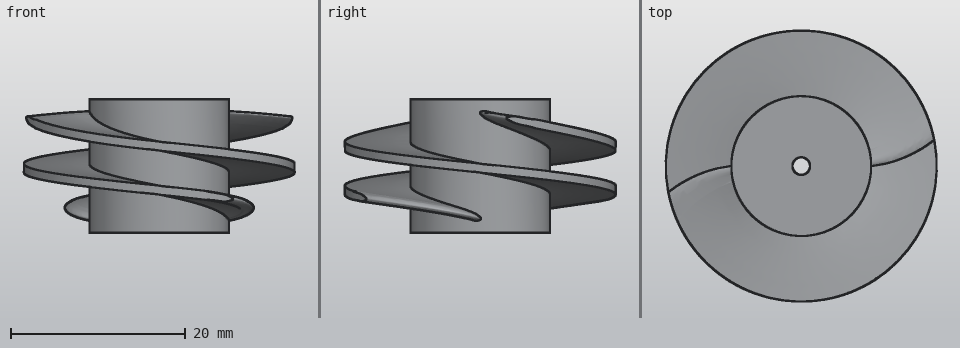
import cadquery as cq
import math

hub_radius = 8.0
hub_height = 15.3
bore_radius = 1.0

blade_count = 2
blade_radius = 15.52
blade_thickness = 1.02
pitch = 10.1
mid_height = 7.42
end_turn = 90.0
start_rise = 1.3
finish_drop = 0.75

root_turn = 360.0
lead_sweep = 11.1
trail_sweep = 57.0
sweep_power = 1.25
nose_length = 13.0

section_count = 7
points_per_side = 25
points_per_nose = 7
root_overlap = 0.75
rim_overlap = 0.5


def center_height(angle):
    """Height of the blade's middle surface: a helix that steepens at both ends."""
    height = mid_height - pitch * (angle - root_turn / 2) / 360
    start_part = max(0.0, 1 - angle / end_turn)
    finish_part = max(0.0, 1 - (root_turn - angle) / end_turn)
    return height + start_rise * start_part**2 - finish_drop * finish_part**2


def blade_section(radius):
    """Closed outline of one blade on a cylinder of the given radius."""
    span = (radius - hub_radius) / (blade_radius - hub_radius)
    sweep = math.copysign(abs(span) ** sweep_power, span)
    lead = lead_sweep * sweep
    trail = root_turn - trail_sweep * sweep
    lead_inner = lead + nose_length
    trail_inner = trail - nose_length

    def point(angle, offset):
        turn = math.radians(angle)
        return cq.Vector(radius * math.cos(turn), radius * math.sin(turn), center_height(angle) + offset)

    def side(offset):
        step = (trail_inner - lead_inner) / (points_per_side - 1)
        return [point(lead_inner + i * step, offset) for i in range(points_per_side)]

    def nose(inner, direction):
        """Half ellipse from the upper to the lower side."""
        points = []
        for i in range(points_per_nose):
            t = math.pi * i / (points_per_nose - 1)
            angle = inner + direction * nose_length * math.sin(t)
            points.append(point(angle, blade_thickness / 2 * math.cos(t)))
        return points

    runs = [
        side(blade_thickness / 2),
        nose(trail_inner, 1),
        side(-blade_thickness / 2)[::-1],
        nose(lead_inner, -1)[::-1],
    ]
    return cq.Wire.assembleEdges([cq.Edge.makeSpline(run) for run in runs])


def make_blade():
    first = hub_radius - root_overlap
    step = (blade_radius + rim_overlap - first) / (section_count - 1)
    sections = [blade_section(first + i * step) for i in range(section_count)]
    blade = cq.Workplane(cq.Solid.makeLoft(sections))
    rim = cq.Workplane().circle(blade_radius).extrude(hub_height)
    return blade.intersect(rim)


result = cq.Workplane().circle(hub_radius).extrude(hub_height)
blade = make_blade()
for i in range(blade_count):
    result = result.union(blade.rotate((0, 0, 0), (0, 0, 1), i * 360 / blade_count))

bore = cq.Workplane().circle(bore_radius).extrude(hub_height)
result = result.cut(bore)